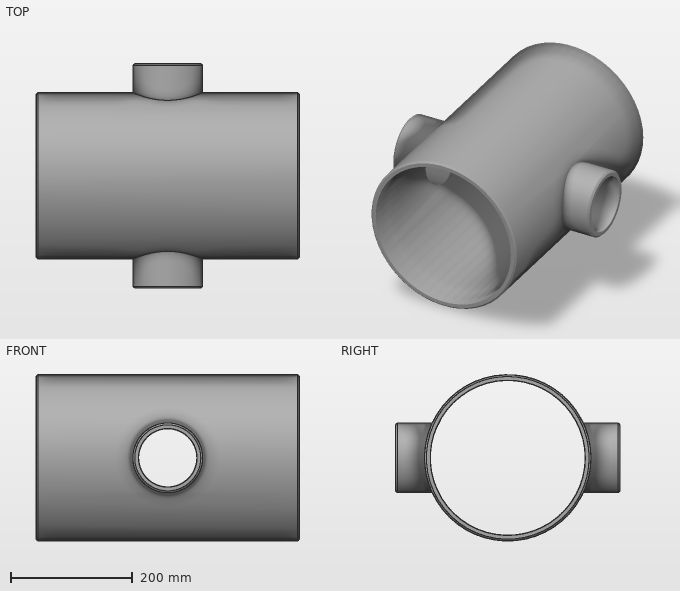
import cadquery as cq

run_length = 432.0
run_outer_diameter = 273.0
run_wall = 9.5

branch_span = 368.5
branch_outer_diameter = 114.5
branch_wall = 9.5

bevel = 3.0


def centred_cylinder(plane, diameter, length):
    """Solid cylinder centred on the origin along the plane normal."""
    end_plane = cq.Workplane(plane).workplane(offset=-length / 2)
    return end_plane.circle(diameter / 2).extrude(length)


def bevelled_cylinder(plane, axis, diameter, length):
    """Centred cylinder with an outer bevel at both ends."""
    body = centred_cylinder(plane, diameter, length)
    for side in (">", "<"):
        body = body.faces(side + axis).chamfer(bevel)
    return body


run = bevelled_cylinder("YZ", "X", run_outer_diameter, run_length)
branches = bevelled_cylinder("XZ", "Y", branch_outer_diameter, branch_span)

run_bore = centred_cylinder("YZ", run_outer_diameter - 2 * run_wall, run_length)
branch_bore = centred_cylinder("XZ", branch_outer_diameter - 2 * branch_wall, branch_span)

result = run.union(branches).cut(run_bore).cut(branch_bore)